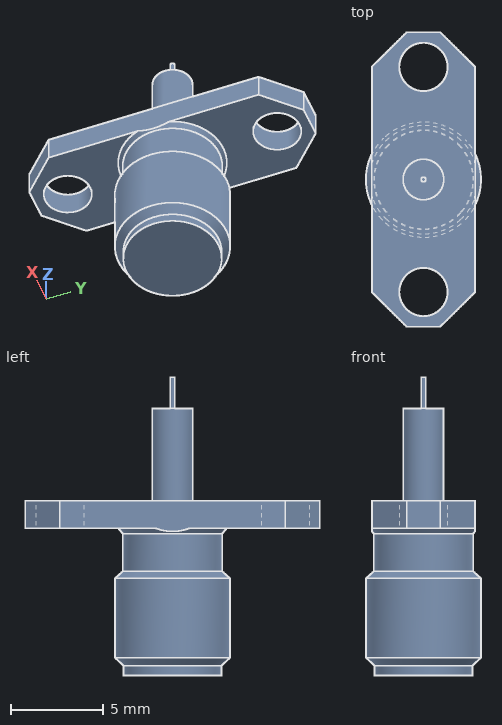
import cadquery as cq

total_height = 16.19
rim_top = 0.55
body_bottom = 0.99
body_top = 5.28
neck_bottom = 5.67
neck_top = 7.7
flange_bottom = 8.0
flange_top = 9.5
dielectric_top = 14.5

rim_diameter = 5.35
body_diameter = 6.27
neck_diameter = 5.4
collar_diameter = 5.9
dielectric_diameter = 2.2
pin_diameter = 0.26

flange_width = 5.6
flange_length = 16.0
flange_end_width = 1.8
corner_length = 1.88
hole_diameter = 2.6
hole_spacing = 12.2


def cylinder(diameter, bottom, top):
    return cq.Workplane("XY").workplane(offset=bottom).circle(diameter / 2).extrude(top - bottom)


def make_flange():
    """Long plate with cut corners and a mounting hole near each end."""
    half_width = flange_width / 2
    half_length = flange_length / 2
    half_end = flange_end_width / 2
    corner_start = half_length - corner_length
    outline = [
        (half_end, half_length),
        (half_width, corner_start),
        (half_width, -corner_start),
        (half_end, -half_length),
        (-half_end, -half_length),
        (-half_width, -corner_start),
        (-half_width, corner_start),
        (-half_end, half_length),
    ]
    plate = (
        cq.Workplane("XY").workplane(offset=flange_bottom)
        .polyline(outline).close().extrude(flange_top - flange_bottom)
    )
    holes = (
        cq.Workplane("XY").workplane(offset=flange_bottom)
        .pushPoints([(0, -hole_spacing / 2), (0, hole_spacing / 2)])
        .circle(hole_diameter / 2).extrude(flange_top - flange_bottom)
    )
    return plate.cut(holes)


def make_barrel():
    """Turned connector end: rim, tapered body and neck."""
    profile = [
        (0, 0),
        (rim_diameter / 2, 0),
        (rim_diameter / 2, rim_top),
        (body_diameter / 2, body_bottom),
        (body_diameter / 2, body_top),
        (neck_diameter / 2, neck_bottom),
        (neck_diameter / 2, neck_top),
        (0, neck_top),
    ]
    return cq.Workplane("XZ").polyline(profile).close().revolve(360, (0, 0), (0, 1))


def make_collar():
    """Flared collar under the flange, trimmed flush with the flange's long sides."""
    profile = [
        (0, neck_top),
        (neck_diameter / 2, neck_top),
        (collar_diameter / 2, flange_bottom),
        (0, flange_bottom),
    ]
    cone = cq.Workplane("XZ").polyline(profile).close().revolve(360, (0, 0), (0, 1))
    trim = cq.Workplane("XY").box(flange_width, flange_length, 2 * flange_bottom)
    return cone.intersect(trim)


dielectric = cylinder(dielectric_diameter, flange_top, dielectric_top)
pin = cylinder(pin_diameter, dielectric_top, total_height)

result = make_barrel().union(make_collar()).union(make_flange()).union(dielectric).union(pin)